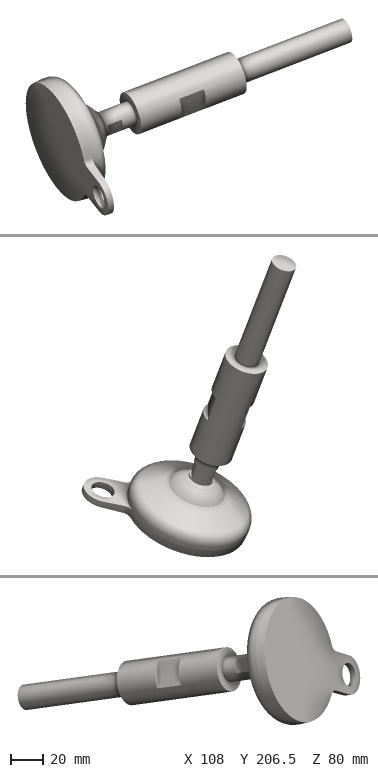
import cadquery as cq
import math

TOTAL_LENGTH = 206.5

PAD_RADIUS = 40.0
PAD_BASE_RADIUS = 39.4
PAD_TAPER_HEIGHT = 6.0
PAD_RIM_TOP = 8.8
SHOULDER_RADIUS = 7.6
CONE_ANGLE = math.radians(22.5)
COLLAR_BOTTOM = 22.1
COLLAR_TOP = 23.2

LUG_END_X = 68.0
LUG_RADIUS = 12.5
LUG_HOLE_X = LUG_END_X - LUG_RADIUS
LUG_HOLE_DIAMETER = 15.0
LUG_TIP_THICKNESS = 4.0
LUG_SLOPE = math.tan(math.radians(3))
LUG_START_X = 30.0
LUG_FILLET = 5.0
CORNER_SEARCH_MARGIN = 1.0

STEM_RADIUS = 8.0
HEAD_RADIUS = 22.5
HEAD_CENTRE_Y = 10.0
NECK_RADIUS = 9.4
FLANGE_RADIUS = 10.0
FLANGE_EDGE_Y = 30.8
FLANGE_TOP_Y = 31.9
STEM_FLATS_START = 33.2
STEM_FLATS_LENGTH = 10.0
STEM_FLATS_WIDTH = 13.0

SLEEVE_RADIUS = 14.0
SLEEVE_START = 53.0
SLEEVE_LENGTH = 75.0
SLEEVE_FLATS_LENGTH = 17.5
SLEEVE_FLATS_WIDTH = 22.0


def head_radius_at(y):
    """Radius of the spherical head at height y."""
    return math.sqrt(HEAD_RADIUS**2 - (y - HEAD_CENTRE_Y) ** 2)


def head_height_at(radius):
    """Height on the upper half of the spherical head at a given radius."""
    return HEAD_CENTRE_Y + math.sqrt(HEAD_RADIUS**2 - radius**2)


def shoulder_point(angle):
    """Point on the rounded shoulder of the pad; the angle is measured from the radial direction."""
    x = PAD_RADIUS - SHOULDER_RADIUS + SHOULDER_RADIUS * math.cos(angle)
    y = PAD_RIM_TOP + SHOULDER_RADIUS * math.sin(angle)
    return x, y


def revolve_about_y(profile):
    return profile.close().revolve(360, (0, 0, 0), (0, 1, 0))


def cut_flats(body, radius, start, length, width):
    """Cut two opposite wrench flats on the +X and -X sides of a round body."""
    depth = radius - width / 2
    for side in (-1, 1):
        block_centre = (side * (width + depth) / 2, start + length / 2, 0)
        block = cq.Workplane("XY").box(depth, length, 2 * radius).translate(block_centre)
        body = body.cut(block)
    return body


def make_pad():
    """Pad of revolution with a spherical seat for the head of the spindle."""
    arc_end_angle = math.pi / 2 - CONE_ANGLE
    arc_end = shoulder_point(arc_end_angle)
    cone_top_radius = arc_end[0] - (COLLAR_BOTTOM - arc_end[1]) / math.tan(CONE_ANGLE)
    seat_middle_y = (HEAD_CENTRE_Y + COLLAR_TOP) / 2
    return revolve_about_y(
        cq.Workplane("XY")
        .lineTo(PAD_BASE_RADIUS, 0)
        .lineTo(PAD_RADIUS, PAD_TAPER_HEIGHT)
        .lineTo(PAD_RADIUS, PAD_RIM_TOP)
        .threePointArc(shoulder_point(arc_end_angle / 2), arc_end)
        .lineTo(cone_top_radius, COLLAR_BOTTOM)
        .lineTo(head_radius_at(COLLAR_TOP), COLLAR_TOP)
        .threePointArc((head_radius_at(seat_middle_y), seat_middle_y), (HEAD_RADIUS, HEAD_CENTRE_Y))
        .lineTo(0, HEAD_CENTRE_Y)
    )


def make_lug():
    """Lug with a round end whose upper face falls towards the tip."""
    root_thickness = LUG_TIP_THICKNESS + (LUG_END_X - LUG_START_X) * LUG_SLOPE
    wedge = (
        cq.Workplane("XY")
        .moveTo(LUG_START_X, 0)
        .lineTo(LUG_END_X, 0)
        .lineTo(LUG_END_X, LUG_TIP_THICKNESS)
        .lineTo(LUG_START_X, root_thickness)
        .close()
        .extrude(LUG_RADIUS, both=True)
    )
    outline = (
        cq.Workplane("XZ")
        .moveTo(LUG_START_X, -LUG_RADIUS)
        .lineTo(LUG_HOLE_X, -LUG_RADIUS)
        .threePointArc((LUG_END_X, 0), (LUG_HOLE_X, LUG_RADIUS))
        .lineTo(LUG_START_X, LUG_RADIUS)
        .close()
        .moveTo(LUG_HOLE_X, 0)
        .circle(LUG_HOLE_DIAMETER / 2)
        .extrude(-root_thickness)
    )
    return wedge.intersect(outline)


def make_foot():
    """Pad and lug as one body, with rounded corners where the lug leaves the pad."""
    corner_x = math.sqrt(PAD_RADIUS**2 - LUG_RADIUS**2)
    corners = cq.selectors.BoxSelector(
        (corner_x - CORNER_SEARCH_MARGIN, 0, -LUG_RADIUS - CORNER_SEARCH_MARGIN),
        (corner_x + CORNER_SEARCH_MARGIN, LUG_TIP_THICKNESS, LUG_RADIUS + CORNER_SEARCH_MARGIN),
    )
    foot_body = make_pad().union(make_lug())
    return foot_body.edges(corners).fillet(LUG_FILLET)


def make_spindle():
    """Round rod with a flared neck and a spherical head seated in the foot."""
    neck_y = head_height_at(NECK_RADIUS)
    head_middle_y = (HEAD_CENTRE_Y + neck_y) / 2
    spindle = revolve_about_y(
        cq.Workplane("XY")
        .moveTo(0, HEAD_CENTRE_Y)
        .lineTo(HEAD_RADIUS, HEAD_CENTRE_Y)
        .threePointArc((head_radius_at(head_middle_y), head_middle_y), (NECK_RADIUS, neck_y))
        .lineTo(FLANGE_RADIUS, FLANGE_EDGE_Y)
        .lineTo(STEM_RADIUS, FLANGE_TOP_Y)
        .lineTo(STEM_RADIUS, TOTAL_LENGTH)
        .lineTo(0, TOTAL_LENGTH)
    )
    return cut_flats(spindle, STEM_RADIUS, STEM_FLATS_START, STEM_FLATS_LENGTH, STEM_FLATS_WIDTH)


def make_sleeve():
    """Round sleeve with a through bore for the spindle and wrench flats at mid length."""
    sleeve = (
        cq.Workplane("XZ", origin=(0, SLEEVE_START, 0))
        .circle(SLEEVE_RADIUS)
        .circle(STEM_RADIUS)
        .extrude(-SLEEVE_LENGTH)
    )
    flats_start = SLEEVE_START + (SLEEVE_LENGTH - SLEEVE_FLATS_LENGTH) / 2
    return cut_flats(sleeve, SLEEVE_RADIUS, flats_start, SLEEVE_FLATS_LENGTH, SLEEVE_FLATS_WIDTH)


foot = make_foot()
spindle = make_spindle()
sleeve = make_sleeve()

result = cq.Compound.makeCompound([foot.solids().val(), spindle.solids().val(), sleeve.solids().val()])